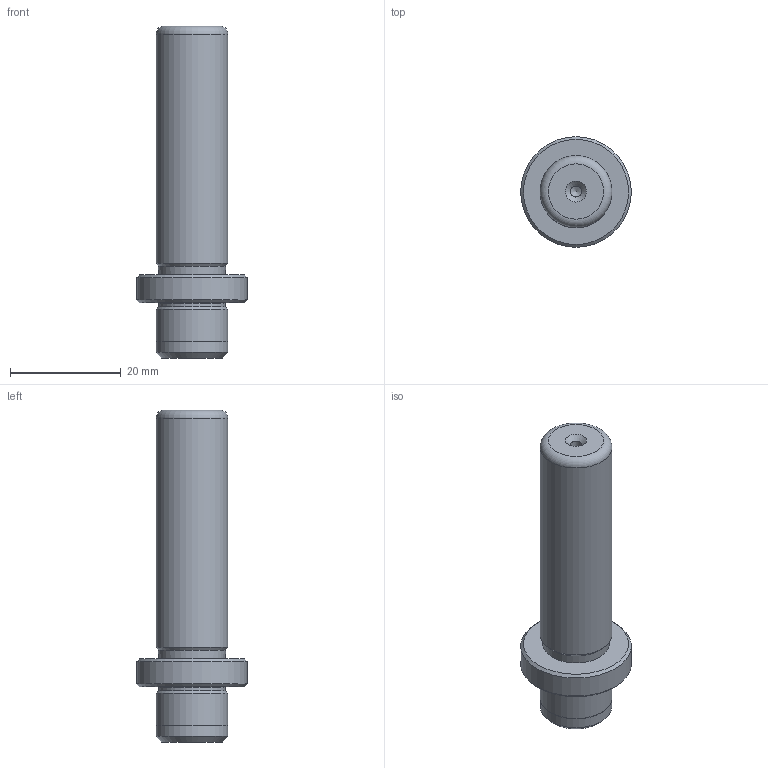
import cadquery as cq
import math

total_length = 60.0
collar_bottom = 10.0
collar_thickness = 5.0
collar_top = collar_bottom + collar_thickness

pin_diameter = 13.0
collar_diameter = 20.0
lower_relief_diameter = 12.0
upper_relief_bottom_diameter = 12.0
upper_relief_top_diameter = 12.2
lead_in_clearance = 0.1

collar_chamfer = 0.5
tip_fillet = 1.5
tail_chamfer = 1.0
lead_in_length = 3.0

lower_relief_width = 0.7
lower_relief_fillet = 0.15
upper_relief_width = 1.6
relief_taper_length = 0.5

countersink_diameter = 3.8
countersink_angle = 90.0
pilot_diameter = 2.0
pilot_depth = 4.0
drill_point_angle = 120.0


def cone_height(large_diameter, small_diameter, included_angle):
    """Axial height of a cone between two diameters."""
    radial_change = (large_diameter - small_diameter) / 2
    return radial_change / math.tan(math.radians(included_angle / 2))


def make_pin():
    """Revolve the stepped half profile about Z."""
    pin_radius = pin_diameter / 2
    lead_in_radius = pin_radius - lead_in_clearance / 2
    lower_relief_radius = lower_relief_diameter / 2
    collar_radius = collar_diameter / 2
    lower_relief_start = collar_bottom - lower_relief_width
    upper_relief_end = collar_top + upper_relief_width
    fillet_mid_offset = tip_fillet * (1 - math.sqrt(0.5))

    profile = (
        cq.Workplane("XZ")
        .moveTo(0, 0)
        .lineTo(lead_in_radius - tail_chamfer, 0)
        .lineTo(lead_in_radius, tail_chamfer)
        .lineTo(lead_in_radius, lead_in_length)
        .lineTo(pin_radius, lead_in_length)
        .lineTo(pin_radius, lower_relief_start - relief_taper_length)
        .lineTo(lower_relief_radius, lower_relief_start)
        .lineTo(lower_relief_radius, collar_bottom - lower_relief_fillet)
        .radiusArc((lower_relief_radius + lower_relief_fillet, collar_bottom), lower_relief_fillet)
        .lineTo(collar_radius - collar_chamfer, collar_bottom)
        .lineTo(collar_radius, collar_bottom + collar_chamfer)
        .lineTo(collar_radius, collar_top - collar_chamfer)
        .lineTo(collar_radius - collar_chamfer, collar_top)
        .lineTo(upper_relief_bottom_diameter / 2, collar_top)
        .lineTo(upper_relief_top_diameter / 2, upper_relief_end)
        .lineTo(pin_radius, upper_relief_end + relief_taper_length)
        .lineTo(pin_radius, total_length - tip_fillet)
        .threePointArc(
            (pin_radius - fillet_mid_offset, total_length - fillet_mid_offset),
            (pin_radius - tip_fillet, total_length),
        )
        .lineTo(0, total_length)
        .close()
    )
    return profile.revolve(360, (0, 0, 0), (0, 1, 0))


def make_centre_drilling():
    """Countersink, pilot bore and conical drill point cut into the tip."""
    pilot_radius = pilot_diameter / 2
    countersink_depth = cone_height(countersink_diameter, pilot_diameter, countersink_angle)
    pilot_floor = total_length - pilot_depth
    drill_apex = pilot_floor - cone_height(pilot_diameter, 0, drill_point_angle)

    profile = (
        cq.Workplane("XZ")
        .moveTo(0, total_length)
        .lineTo(countersink_diameter / 2, total_length)
        .lineTo(pilot_radius, total_length - countersink_depth)
        .lineTo(pilot_radius, pilot_floor)
        .lineTo(0, drill_apex)
        .close()
    )
    return profile.revolve(360, (0, 0, 0), (0, 1, 0))


result = make_pin().cut(make_centre_drilling())